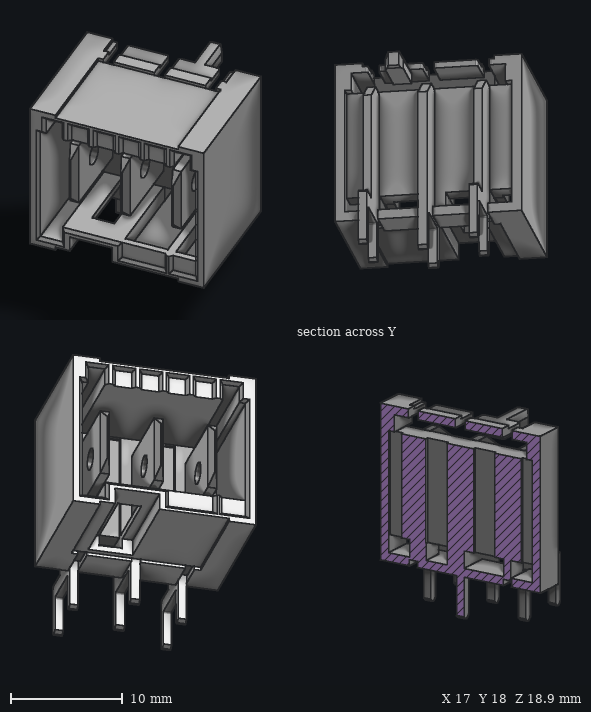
import cadquery as cq

WIDTH = 17.0
DEPTH = 12.83
HEIGHT = 14.9
PIN_PITCH = 5.0

SKIN_RECESS = 0.3
SKIN_HALF_WIDTH = 6.0
SKIN_REAR_Y = 9.56
TAB_STEP_Y = 10.81
TAB_CORNER = 0.2

CAVITY_HALF_WIDTH = 7.6
CAVITY_FLOOR = 0.88
CAVITY_BOTTOM = 2.5
CAVITY_TOP = 12.41
POCKET_TOP = 14.02
BEVEL = 0.3
LOWER_BARRIER_REAR_Y = 0.95

WINDOW_COUNT = 6
WINDOW_PITCH = 2.5
WINDOW_WIDTH = 1.55
WINDOW_ROW_HALF = (WINDOW_COUNT - 1) * WINDOW_PITCH / 2 + WINDOW_WIDTH / 2
UPPER_BLOCK_HALF_WIDTH = WINDOW_ROW_HALF - WINDOW_WIDTH

PLATFORM_LEFT = -5.43
PLATFORM_RIGHT = 0.41
NOTCH_LEFT = -4.6
NOTCH_RIGHT = -0.47
NOTCH_TOP = 1.84
NOTCH_REAR_Y = 9.0
SLOT_LEFT = -3.6
SLOT_RIGHT = -1.43
SLOT_FRONT_Y = 2.7
RIB_LEFT = 4.58
RIB_RIGHT = 5.39

WALL_REAR_Y = 11.83
BOSS_HEIGHT = 0.5
BOSS_SPANS = [(-6.27, -3.63), (-1.43, 1.43), (3.63, 6.5)]

BLADE_WIDTH = 0.85
BLADE_BOTTOM = 4.32
BLADE_TOP = 10.65
BLADE_TIP_Y = 1.0
BLADE_SHOULDER_Y = 2.0
BLADE_TIP_WIDTH = 0.15
BLADE_TIP_INSET = 1.02
BLADE_HOLE_DIAMETER = 2.0
BLADE_HOLE_Y = 5.35

TOP_SLOT_WIDTH = 1.0
PIN_LENGTH = 4.0
PIN_DEPTH = 0.8
PIN_TIP = 0.3
OUTER_PLATE_WIDTH = 0.77
PLATE_TOP = 12.3
PLATE_REAR_Y = 15.65
PLATE_SLOPE_Y = 13.6
PLATE_SLOPE_Z = 10.83
ARM_TOP = 1.02
ARM_BOTTOM = -0.39
OUTER_FRONT_PIN_Y = 12.2
CENTER_FRONT_PIN_Y = 9.75
REAR_PIN_END_Y = 18.0
ARM_ROUND = 0.12
ARM_BEVEL = 0.16
PLATE_BEVEL = 0.14

PEG_LEFT = 1.7
PEG_RIGHT = 3.35
PEG_BOTTOM = 13.05
PEG_END_Y = 16.38
PEG_BEVEL_WIDTH = 0.35
PEG_BEVEL_DROP = 0.6
PEG_SIDE_TAPER_LENGTH = 0.48
PEG_SIDE_TAPER_WIDTH = 0.34
PEG_TOP_TAPER_LENGTH = 0.2
PEG_TOP_TAPER_DROP = 0.06
PEG_BOTTOM_TAPER = 0.2

SKIN_TOP = HEIGHT - SKIN_RECESS
BLADE_CENTERS = [-PIN_PITCH, 0.0, PIN_PITCH]


def block(x0, x1, y0, y1, z0, z1):
    """Axis-aligned box between two opposite corners."""
    return cq.Workplane("XY").box(x1 - x0, y1 - y0, z1 - z0, centered=False).translate((x0, y0, z0))


def front_rectangle(x0, x1, z0, z1):
    """Rectangle in the mating face."""
    return cq.Workplane("XZ").center((x0 + x1) / 2, (z0 + z1) / 2).rect(x1 - x0, z1 - z0)


def beveled_recess(x0, x1, z0, z1):
    """Tool for a 45 degree recess that narrows to the given rectangle."""
    outer = front_rectangle(x0 - BEVEL, x1 + BEVEL, z0 - BEVEL, z1 + BEVEL)
    return outer.extrude(-BEVEL, taper=45)


def side_profile(points, x_center, width):
    """Y-Z outline extruded symmetrically about a plane of constant X."""
    outline = cq.Workplane("YZ", origin=(x_center, 0, 0)).polyline(points).close()
    return outline.extrude(width / 2, both=True)


def housing_shell():
    """Open box with recessed skins, rear tabs and a bevelled mouth."""
    shell = block(-WIDTH / 2, WIDTH / 2, 0, DEPTH, 0, HEIGHT)
    for y0, y1, z0, z1 in [
        (0, SKIN_REAR_Y, SKIN_TOP, HEIGHT),
        (TAB_STEP_Y, DEPTH, SKIN_TOP, HEIGHT),
        (0, SKIN_REAR_Y, 0, SKIN_RECESS),
    ]:
        shell = shell.cut(block(-SKIN_HALF_WIDTH, SKIN_HALF_WIDTH, y0, y1, z0, z1))
    shell = shell.cut(beveled_recess(-CAVITY_HALF_WIDTH, CAVITY_HALF_WIDTH, CAVITY_FLOOR, CAVITY_TOP))
    shell = shell.cut(block(-CAVITY_HALF_WIDTH, CAVITY_HALF_WIDTH, 0, DEPTH, CAVITY_FLOOR, CAVITY_TOP))
    shell = shell.cut(block(-WINDOW_ROW_HALF, WINDOW_ROW_HALF, 0, DEPTH, CAVITY_TOP, POCKET_TOP))
    return shell


def pin_slots(shell):
    """Rear slots for the contacts through the top and bottom skins."""
    for x in BLADE_CENTERS:
        half = TOP_SLOT_WIDTH / 2
        slot = block(x - half, x + half, SKIN_REAR_Y, DEPTH, CAVITY_TOP, HEIGHT)
        shell = shell.cut(slot)
        for edge_x in (x - half, x + half):
            corner = cq.selectors.BoxSelector(
                (edge_x - TAB_CORNER, DEPTH - TAB_CORNER, CAVITY_TOP),
                (edge_x + TAB_CORNER, DEPTH + TAB_CORNER, HEIGHT),
            )
            shell = shell.edges("|Z").edges(corner).fillet(TAB_CORNER)
        half = BLADE_WIDTH / 2
        shell = shell.cut(block(x - half, x + half, SKIN_REAR_Y, DEPTH, 0, CAVITY_FLOOR))
    return shell


def keying_platform():
    """Raised floor with a bevelled front edge."""
    platform = block(PLATFORM_LEFT, PLATFORM_RIGHT, 0, WALL_REAR_Y, CAVITY_FLOOR - BEVEL, CAVITY_BOTTOM)
    return platform.edges("|X and <Y and >Z").chamfer(BEVEL)


def keying_details(shell):
    """Upper block, lower barrier, rib, platform, bevelled windows and floor openings."""
    upper = block(
        -UPPER_BLOCK_HALF_WIDTH, UPPER_BLOCK_HALF_WIDTH, 0, SKIN_REAR_Y, CAVITY_TOP, POCKET_TOP + BEVEL
    )
    lower = block(
        PLATFORM_RIGHT, CAVITY_HALF_WIDTH, BEVEL, LOWER_BARRIER_REAR_Y, CAVITY_FLOOR, CAVITY_BOTTOM
    )
    rib = block(RIB_LEFT, RIB_RIGHT, 0, WALL_REAR_Y, CAVITY_FLOOR - BEVEL, CAVITY_BOTTOM)
    shell = shell.union(upper).union(lower).union(rib).union(keying_platform())

    for index in range(WINDOW_COUNT):
        x = (index - (WINDOW_COUNT - 1) / 2) * WINDOW_PITCH
        half = WINDOW_WIDTH / 2
        shell = shell.cut(beveled_recess(x - half, x + half, CAVITY_TOP, POCKET_TOP))

    for x0, x1 in [
        (-CAVITY_HALF_WIDTH, PLATFORM_LEFT),
        (PLATFORM_RIGHT, RIB_LEFT),
        (RIB_RIGHT, CAVITY_HALF_WIDTH),
    ]:
        shell = shell.cut(beveled_recess(x0, x1, CAVITY_FLOOR, CAVITY_BOTTOM))

    shell = shell.cut(block(NOTCH_LEFT, NOTCH_RIGHT, 0, NOTCH_REAR_Y, 0, NOTCH_TOP))
    return shell.cut(block(SLOT_LEFT, SLOT_RIGHT, SLOT_FRONT_Y, DEPTH, CAVITY_FLOOR, CAVITY_BOTTOM))


def contact_wall():
    """Wall across the rear of the cavity with a raised band at each blade."""
    wall_front_y = SKIN_REAR_Y + BOSS_HEIGHT
    wall = block(
        -CAVITY_HALF_WIDTH, CAVITY_HALF_WIDTH, wall_front_y, WALL_REAR_Y, CAVITY_BOTTOM, CAVITY_TOP
    )
    for x0, x1 in BOSS_SPANS:
        wall = wall.union(block(x0, x1, SKIN_REAR_Y, wall_front_y, CAVITY_BOTTOM, CAVITY_TOP))
    return wall


def blade(x):
    """Flat contact with a tapered tip and a cross hole."""
    half = BLADE_WIDTH / 2
    shank = block(x - half, x + half, BLADE_SHOULDER_Y, WALL_REAR_Y, BLADE_BOTTOM, BLADE_TOP)
    height = BLADE_TOP - BLADE_BOTTOM
    middle_z = (BLADE_TOP + BLADE_BOTTOM) / 2
    tip = (
        cq.Workplane("XZ", origin=(x, BLADE_SHOULDER_Y, middle_z))
        .rect(BLADE_WIDTH, height)
        .workplane(offset=BLADE_SHOULDER_Y - BLADE_TIP_Y)
        .rect(BLADE_TIP_WIDTH, height - 2 * BLADE_TIP_INSET)
        .loft(ruled=True)
    )
    hole = (
        cq.Workplane("YZ", origin=(x, BLADE_HOLE_Y, middle_z))
        .circle(BLADE_HOLE_DIAMETER / 2)
        .extrude(BLADE_WIDTH, both=True)
    )
    return shank.union(tip).cut(hole)


def solder_pin(x, width, front_y):
    """Pin with a chamfered lower end."""
    pin = block(x - width / 2, x + width / 2, front_y, front_y + PIN_DEPTH, -PIN_LENGTH, ARM_BOTTOM)
    return pin.edges("|X and <Z").chamfer(PIN_TIP)


def round_arm(contact, corners):
    """Small rounds on the X-direction edges at the given Y-Z corners."""
    for y, z in corners:
        near = cq.selectors.BoxSelector(
            (-WIDTH, y - ARM_ROUND, z - ARM_ROUND), (WIDTH, y + ARM_ROUND, z + ARM_ROUND)
        )
        contact = contact.edges("|X").edges(near).fillet(ARM_ROUND)
    return contact


def outer_contact(x):
    """Rear plate with an arm that reaches back to a second pin."""
    plate_points = [
        (WALL_REAR_Y, ARM_TOP),
        (OUTER_FRONT_PIN_Y, ARM_TOP),
        (OUTER_FRONT_PIN_Y, ARM_BOTTOM),
        (REAR_PIN_END_Y, ARM_BOTTOM),
        (REAR_PIN_END_Y, ARM_TOP - ARM_BEVEL),
        (REAR_PIN_END_Y - ARM_BEVEL, ARM_TOP),
        (PLATE_REAR_Y, ARM_TOP),
        (PLATE_REAR_Y, PLATE_SLOPE_Z),
        (PLATE_SLOPE_Y, PLATE_TOP),
        (WALL_REAR_Y + PLATE_BEVEL, PLATE_TOP),
        (WALL_REAR_Y, PLATE_TOP - PLATE_BEVEL),
    ]
    rear_pin_y = REAR_PIN_END_Y - PIN_DEPTH
    contact = side_profile(plate_points, x, OUTER_PLATE_WIDTH)
    contact = contact.union(solder_pin(x, OUTER_PLATE_WIDTH, OUTER_FRONT_PIN_Y))
    contact = contact.union(solder_pin(x, OUTER_PLATE_WIDTH, rear_pin_y))
    corners = [
        (OUTER_FRONT_PIN_Y + PIN_DEPTH, ARM_BOTTOM),
        (rear_pin_y, ARM_BOTTOM),
    ]
    return round_arm(contact, corners)


def center_contact():
    """Rear plate with a forward foot under the contact wall."""
    plate_points = [
        (CENTER_FRONT_PIN_Y, CAVITY_BOTTOM),
        (CENTER_FRONT_PIN_Y, ARM_BOTTOM),
        (PLATE_REAR_Y, ARM_BOTTOM),
        (PLATE_REAR_Y, PLATE_SLOPE_Z),
        (PLATE_SLOPE_Y, PLATE_TOP),
        (WALL_REAR_Y + PLATE_BEVEL, PLATE_TOP),
        (WALL_REAR_Y, PLATE_TOP - PLATE_BEVEL),
        (WALL_REAR_Y, CAVITY_BOTTOM),
    ]
    rear_pin_y = PLATE_REAR_Y - PIN_DEPTH
    contact = side_profile(plate_points, 0, BLADE_WIDTH)
    contact = contact.union(solder_pin(0, BLADE_WIDTH, CENTER_FRONT_PIN_Y))
    contact = contact.union(solder_pin(0, BLADE_WIDTH, rear_pin_y))
    corners = [(CENTER_FRONT_PIN_Y + PIN_DEPTH, ARM_BOTTOM), (rear_pin_y, ARM_BOTTOM)]
    return round_arm(contact, corners)


def peg():
    """Rear peg with bevelled upper sides and a tapered end."""
    bevel_z = SKIN_TOP - PEG_BEVEL_DROP
    section = [
        (PEG_LEFT, PEG_BOTTOM),
        (PEG_RIGHT, PEG_BOTTOM),
        (PEG_RIGHT, bevel_z),
        (PEG_RIGHT - PEG_BEVEL_WIDTH, SKIN_TOP),
        (PEG_LEFT + PEG_BEVEL_WIDTH, SKIN_TOP),
        (PEG_LEFT, bevel_z),
    ]
    body = (
        cq.Workplane("XZ", origin=(0, WALL_REAR_Y, 0))
        .polyline(section)
        .close()
        .extrude(WALL_REAR_Y - PEG_END_Y)
    )
    plan = [
        (PEG_LEFT, WALL_REAR_Y),
        (PEG_RIGHT, WALL_REAR_Y),
        (PEG_RIGHT, PEG_END_Y - PEG_SIDE_TAPER_LENGTH),
        (PEG_RIGHT - PEG_SIDE_TAPER_WIDTH, PEG_END_Y),
        (PEG_LEFT + PEG_SIDE_TAPER_WIDTH, PEG_END_Y),
        (PEG_LEFT, PEG_END_Y - PEG_SIDE_TAPER_LENGTH),
    ]
    side = [
        (WALL_REAR_Y, PEG_BOTTOM),
        (PEG_END_Y - PEG_BOTTOM_TAPER, PEG_BOTTOM),
        (PEG_END_Y, PEG_BOTTOM + PEG_BOTTOM_TAPER),
        (PEG_END_Y, SKIN_TOP - PEG_TOP_TAPER_DROP),
        (PEG_END_Y - PEG_TOP_TAPER_LENGTH, SKIN_TOP),
        (WALL_REAR_Y, SKIN_TOP),
    ]
    plan_body = cq.Workplane("XY").polyline(plan).close().extrude(HEIGHT)
    side_body = side_profile(side, (PEG_LEFT + PEG_RIGHT) / 2, PEG_RIGHT - PEG_LEFT)
    return body.intersect(plan_body).intersect(side_body)


result = keying_details(pin_slots(housing_shell())).union(contact_wall()).union(peg())
for blade_x in BLADE_CENTERS:
    result = result.union(blade(blade_x))
plate_shift = (BLADE_WIDTH - OUTER_PLATE_WIDTH) / 2
for side in (-1, 1):
    result = result.union(outer_contact(side * (PIN_PITCH + plate_shift)))
result = result.union(center_contact())